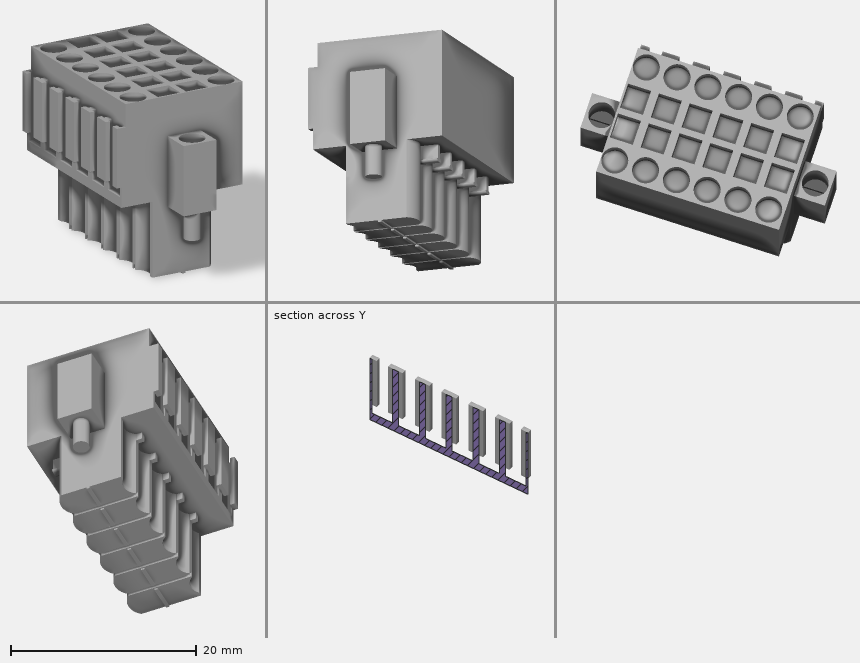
import cadquery as cq
import math

poles = 6
pitch = 3.5
overall_length = 27.8
block_length = 20.8
block_depth = 14.5
block_bottom = 8.73
block_top = 20.6

opening_shift = 0.1
opening_depth = 1.5
wire_hole_diameter = 2.92
wire_hole_y = 5.45
window_length = 2.6
window_width = 2.8
window_y = 1.75
window_shift = 0.03

rib_bottom = 11.06
rib_top = 17.93
cap_width = 1.9
cap_depth = 0.55
web_depth = 0.53
pocket_width = 2.65
pocket_floor = 9.9

ridge_front = -4.28
end_wall_front = -3.92
channel_radius = 1.67
ridge_width = 0.67
lobe_back = 3.92
lobe_radius = 2.15
notch_width = 0.35
notch_height = 0.55
seam_width = 0.4
seam_height = 0.2

key_width = 0.55
front_key_y = -5.0
front_key_height = 0.9
back_key_y = 5.55
back_key_height = 1.92
bead_size = 0.28

flange_depth = 4.05
flange_bottom = 7.85
flange_top = 15.93

head_diameter = 2.9
head_height = 2.0
head_recess = 4.0
shank_diameter = 1.83
screw_bottom = 4.42
slot_width = 0.47
slot_depth = 0.55

block_front = -block_depth / 2
ledge_front = block_front - web_depth
cap_front = ledge_front - cap_depth
flange_length = (overall_length - block_length) / 2
screw_x = (overall_length - flange_length) / 2
head_top = flange_top - head_recess
head_bottom = head_top - head_height
pole_xs = [(i - (poles - 1) / 2) * pitch for i in range(poles)]
gap_xs = [(i - poles / 2) * pitch for i in range(1, poles)]


def box(x_min, x_max, y_min, y_max, z_min, z_max):
    size = (x_max - x_min, y_max - y_min, z_max - z_min)
    return cq.Workplane("XY").box(*size, centered=False).translate((x_min, y_min, z_min))


def centred_box(x, width, y_min, y_max, z_min, z_max):
    return box(x - width / 2, x + width / 2, y_min, y_max, z_min, z_max)


def cylinder(x, y, diameter, z_min, z_max):
    return cq.Workplane("XY", origin=(x, y, z_min)).circle(diameter / 2).extrude(z_max - z_min)


def make_block():
    """Main block with the wire holes and windows sunk into its top."""
    block = centred_box(0, block_length, block_front, -block_front, block_bottom, block_top)
    floor = block_top - opening_depth
    for pole_x in pole_xs:
        x = pole_x + opening_shift
        for side in (-1, 1):
            block = block.cut(cylinder(x, side * wire_hole_y, wire_hole_diameter, floor, block_top))
            y = side * window_y + window_shift
            y_min = y - window_width / 2
            window = centred_box(x, window_length, y_min, y_min + window_width, floor, block_top)
            block = block.cut(window)
    return block


def make_front_relief():
    """Ledge and webs in one slab, pocketed at each pole, with a wider cap on every web."""
    relief = centred_box(0, block_length, ledge_front, block_front, block_bottom, rib_top)
    for x in pole_xs:
        relief = relief.cut(centred_box(x, pocket_width, ledge_front, block_front, pocket_floor, rib_top))
    for x in gap_xs:
        relief = relief.union(centred_box(x, cap_width, cap_front, ledge_front, rib_bottom, rib_top))
    end_cap_width = cap_width / 2
    for side in (-1, 1):
        x = side * (block_length - end_cap_width) / 2
        relief = relief.union(centred_box(x, end_cap_width, cap_front, ledge_front, rib_bottom, rib_top))
    return relief


def make_plug():
    """Plug with concave channels in front, convex lobes behind and notches between poles."""
    channel_half_width = (pitch - ridge_width) / 2
    channel_y = ridge_front - math.sqrt(channel_radius**2 - channel_half_width**2)
    lobe_y = lobe_back - lobe_radius

    plug = centred_box(0, block_length, end_wall_front, lobe_y, 0, block_bottom)
    ridge_span = pole_xs[-1] - pole_xs[0]
    plug = plug.union(centred_box(0, ridge_span, ridge_front, end_wall_front, 0, block_bottom))
    envelope = centred_box(0, block_length, ridge_front, lobe_back, 0, block_bottom)
    for x in pole_xs:
        lobe = cylinder(x, lobe_y, 2 * lobe_radius, 0, block_bottom)
        plug = plug.union(lobe.intersect(envelope))
    for x in pole_xs:
        plug = plug.cut(cylinder(x, channel_y, 2 * channel_radius, 0, block_bottom))

    seam = centred_box(0, block_length, -seam_width / 2, seam_width / 2, -seam_height, 0)
    for x in gap_xs:
        seam = seam.cut(centred_box(x, ridge_width, -seam_width / 2, seam_width / 2, -seam_height, 0))
    plug = plug.union(seam)
    for x in gap_xs:
        plug = plug.cut(centred_box(x, notch_width, ridge_front, lobe_back, 0, notch_height))
    return plug


def make_back_key(x):
    """Key with a snap bead along both sides of its lower end."""
    half = key_width / 2
    tip = block_bottom - back_key_height
    bead_z = tip + bead_size
    neck_z = bead_z + bead_size
    diagonal = bead_size * math.sin(math.pi / 4)
    flare_x = half + bead_size - diagonal
    flare_z = neck_z - diagonal
    round_x = half + diagonal
    round_z = bead_z - diagonal
    profile = (
        cq.Workplane("XZ", origin=(x, back_key_y, 0))
        .moveTo(-half, block_bottom)
        .lineTo(half, block_bottom)
        .lineTo(half, neck_z)
        .threePointArc((flare_x, flare_z), (half + bead_size, bead_z))
        .threePointArc((round_x, round_z), (half, tip))
        .lineTo(-half, tip)
        .threePointArc((-round_x, round_z), (-half - bead_size, bead_z))
        .threePointArc((-flare_x, flare_z), (-half, neck_z))
        .close()
    )
    return profile.extrude(back_key_y - (lobe_back - lobe_radius))


def make_front_key(x):
    z_min = block_bottom - front_key_height
    return centred_box(x, key_width, front_key_y, ridge_front, z_min, block_bottom)


def make_flange(side):
    """Screw flange with a stepped bore that matches the screw."""
    x = side * screw_x
    flange = centred_box(x, flange_length, -flange_depth / 2, flange_depth / 2, flange_bottom, flange_top)
    flange = flange.cut(cylinder(x, 0, head_diameter, head_bottom, flange_top))
    return flange.cut(cylinder(x, 0, shank_diameter, flange_bottom, head_bottom))


def make_housing():
    housing = make_block().union(make_front_relief()).union(make_plug())
    for x in gap_xs:
        housing = housing.union(make_front_key(x)).union(make_back_key(x))
    for side in (-1, 1):
        housing = housing.union(make_flange(side))
    return housing


def make_screw(side):
    """Slotted screw with its head seated in the flange and its shank hanging out below."""
    x = side * screw_x
    head = cylinder(x, 0, head_diameter, head_bottom, head_top)
    shank = cylinder(x, 0, shank_diameter, screw_bottom, head_bottom)
    slot_floor = head_top - slot_depth
    slot = centred_box(x, head_diameter, -slot_width / 2, slot_width / 2, slot_floor, head_top)
    return head.union(shank).cut(slot)


housing = make_housing()
screws = [make_screw(side) for side in (-1, 1)]

result = cq.Compound.makeCompound([housing.val(), *[screw.val() for screw in screws]])